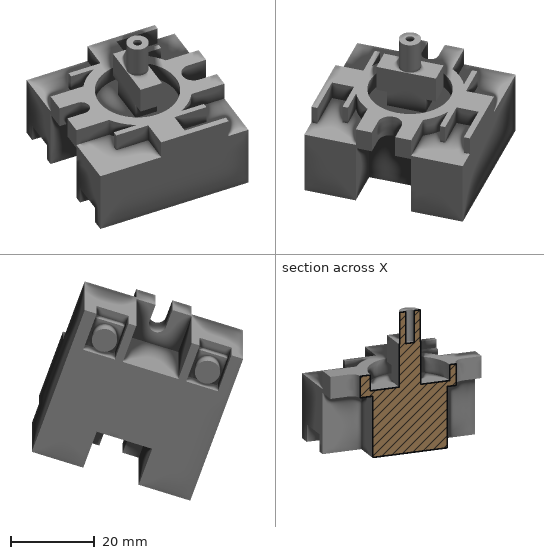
import cadquery as cq

body_width = 40.0
body_depth = 39.4
body_height = 21.0
half_width = body_width / 2
half_depth = body_depth / 2

relief_depth = 4.6
relief_floor = body_height - relief_depth
arm_width = 14.0
crossbar_width = 7.0
ring_radius = 13.0
rib_outer_x = 12.95
rib_thickness = 1.35
rib_length = 24.0
edge_strip_width = 1.5
edge_strip_end_y = 14.45

recess_radius = 10.2
recess_depth = 4.0
recess_floor = body_height - recess_depth

arm_thickness = 5.55
notch_height = body_height - arm_thickness
notch_depth = 10.0
front_slot_width = 4.2
front_slot_depth = 6.8
rear_slot_width = 5.9
rear_slot_depth = 7.7

blade_width = 15.0
blade_thickness = 5.7
blade_top = 27.75
blade_foot_width = 9.7
shaft_diameter = 5.35
shaft_top = 35.8
shaft_hole_diameter = 2.1
shaft_hole_depth = shaft_top - blade_top

terminal_x = 13.0
terminal_y = -13.7
pocket_width = 8.0
pocket_height = 4.4
pocket_depth = 10.0
plate_side = 7.5
plate_bottom = 2.7
screw_diameter = 6.0
screw_bottom = -0.1


def block(x_range, y_range, z_range):
    """Box spanning the given (low, high) ranges."""
    size = [high - low for low, high in (x_range, y_range, z_range)]
    corner = (x_range[0], y_range[0], z_range[0])
    return cq.Workplane("XY").box(*size, centered=False).translate(corner)


def centred_block(width, depth, z_range):
    """Box centred on the spindle axis."""
    return block((-width / 2, width / 2), (-depth / 2, depth / 2), z_range)


def cylinder(diameter, z_range, centre=(0, 0)):
    """Upright cylinder."""
    low, high = z_range
    return cq.Workplane("XY", origin=(*centre, low)).circle(diameter / 2).extrude(high - low)


def raised_relief():
    """Arms, ring, ribs and edge strips standing on the lowered top face."""
    levels = (relief_floor, body_height)
    relief = centred_block(arm_width, body_depth, levels)
    relief = relief.union(centred_block(body_width, crossbar_width, levels))
    relief = relief.union(cylinder(2 * ring_radius, levels).intersect(
        centred_block(2 * (rib_outer_x - rib_thickness), body_depth, levels)))
    rib_centre_x = rib_outer_x - rib_thickness / 2
    strip_centre_x = half_width - edge_strip_width / 2
    for side in (-1, 1):
        rib = centred_block(rib_thickness, rib_length, levels)
        relief = relief.union(rib.translate((side * rib_centre_x, 0, 0)))
        strip = block((-edge_strip_width / 2, edge_strip_width / 2), (0, edge_strip_end_y), levels)
        relief = relief.union(strip.translate((side * strip_centre_x, 0, 0)))
    return relief


def arm_slot(side, width, depth):
    """Round-ended slot entering an arm from the front (side -1) or the rear (side 1)."""
    levels = (notch_height, body_height)
    centre_y = side * (half_depth - depth + width / 2)
    y_range = sorted((centre_y, side * half_depth))
    channel = block((-width / 2, width / 2), y_range, levels)
    return channel.union(cylinder(width, levels, (0, centre_y)))


def arm_notch(side):
    """Clearance below an arm at the front (side -1) or the rear (side 1)."""
    y_range = sorted((side * half_depth, side * (half_depth - notch_depth)))
    return block((-arm_width / 2, arm_width / 2), y_range, (0, notch_height))


def terminal_pocket(centre_x):
    """Pocket open to the front and the underside."""
    x_range = (centre_x - pocket_width / 2, centre_x + pocket_width / 2)
    return block(x_range, (-half_depth, -half_depth + pocket_depth), (0, pocket_height))


def terminal_screw(centre_x):
    """Square clamp plate against the pocket ceiling, with a round screw below it."""
    plate = centred_block(plate_side, plate_side, (plate_bottom, pocket_height))
    screw = cylinder(screw_diameter, (screw_bottom, plate_bottom))
    return plate.union(screw).translate((centre_x, terminal_y, 0))


def spindle():
    """Blade standing in the recess on a narrower foot, carrying the drilled shaft."""
    foot = centred_block(blade_foot_width, blade_thickness, (recess_floor, body_height))
    blade = centred_block(blade_width, blade_thickness, (body_height, blade_top))
    shaft = cylinder(shaft_diameter, (blade_top, shaft_top))
    hole = cylinder(shaft_hole_diameter, (shaft_top - shaft_hole_depth, shaft_top))
    return foot.union(blade).union(shaft.cut(hole))


def build_part():
    part = centred_block(body_width, body_depth, (0, relief_floor))
    part = part.union(raised_relief())
    part = part.cut(cylinder(2 * recess_radius, (recess_floor, body_height)))
    for side in (-1, 1):
        part = part.cut(arm_notch(side))
    part = part.cut(arm_slot(-1, front_slot_width, front_slot_depth))
    part = part.cut(arm_slot(1, rear_slot_width, rear_slot_depth))
    for centre_x in (-terminal_x, terminal_x):
        part = part.cut(terminal_pocket(centre_x)).union(terminal_screw(centre_x))
    return part.union(spindle())


result = build_part()